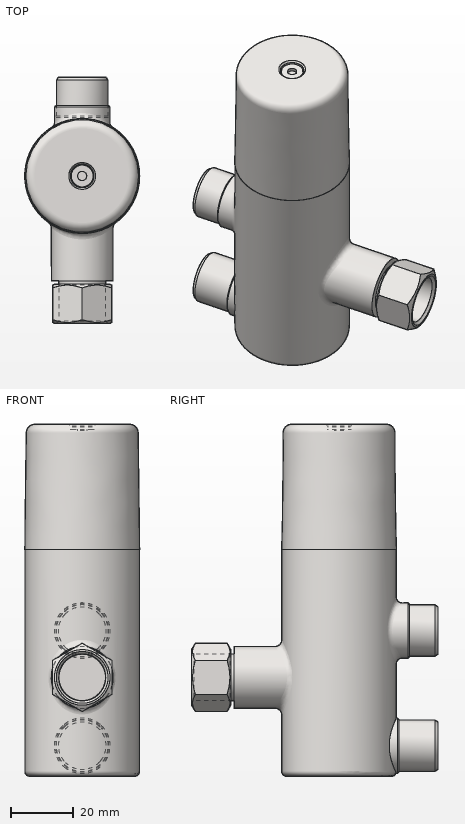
import cadquery as cq
import math

total_height = 113.6
body_diameter = 37.0
body_height = 73.2
base_edge_radius = 1.6
cap_bottom_diameter = 37.1
cap_top_diameter = 36.1
cap_edge_radius = 2.8

recess_mouth_diameter = 8.6
recess_diameter = 7.6
recess_depth = 1.7
screw_diameter = 7.0
screw_drop = 0.9
socket_diameter = 3.0
socket_depth = 1.1

outlet_z = 31.9
outlet_diameter = 20.0
outlet_reach = 33.9
outlet_fillet = 2.0
neck_diameter = 15.2

nut_start = 34.9
nut_end = 47.6
nut_across_flats = 19.1
nut_face_diameter = 18.0
nut_chamfer_length = 1.2
nut_bore_diameter = 15.0
nut_mouth_diameter = 16.7
nut_bore_depth = 12.5

pipe_end = 31.9
pipe_diameter = 16.7
pipe_chamfer_length = 1.0
pipe_chamfer_width = 0.7
collar_diameter = 18.0
collar_chamfer = 0.5
upper_pipe_z = 47.0
upper_collar_reach = 22.7
upper_collar_fillet = 1.7
lower_pipe_z = 9.9
lower_collar_reach = 19.3


def cylinder_along_y(diameter, start, end, z):
    """Cylinder from Y = start to Y = end, where end is above start."""
    plane = cq.Plane(origin=(0, start, z), xDir=(1, 0, 0), normal=(0, 1, 0))
    return cq.Workplane(plane).circle(diameter / 2).extrude(end - start)


def blend_with_body(solid, z, diameter, side, radius):
    """Fillet the joint between the body and a tube on the +Y or -Y side."""
    margin = 1.1
    half = diameter / 2 + margin
    body_radius = body_diameter / 2
    joint_start = math.sqrt(body_radius**2 - (diameter / 2) ** 2) - margin
    joint_end = body_radius + margin
    y_low, y_high = sorted((side * joint_start, side * joint_end))
    joint_zone = cq.selectors.BoxSelector((-half, y_low, z - half), (half, y_high, z + half), True)
    return solid.edges(joint_zone).edges("not %LINE").fillet(radius)


def make_body():
    body = cq.Workplane("XY").circle(body_diameter / 2).extrude(body_height)
    return body.faces("<Z").edges().fillet(base_edge_radius)


def make_cap():
    cap = (
        cq.Workplane("XZ")
        .moveTo(0, body_height)
        .lineTo(cap_bottom_diameter / 2, body_height)
        .lineTo(cap_top_diameter / 2, total_height)
        .lineTo(0, total_height)
        .close()
        .revolve(360, (0, 0), (0, 1))
    )
    return cap.faces(">Z").edges().fillet(cap_edge_radius)


def cut_screw_recess(solid):
    mouth_depth = (recess_mouth_diameter - recess_diameter) / 2
    recess = cq.Workplane("XY", origin=(0, 0, total_height)).circle(recess_diameter / 2).extrude(-recess_depth)
    mouth = cq.Solid.makeCone(
        recess_diameter / 2,
        recess_mouth_diameter / 2,
        mouth_depth,
        pnt=cq.Vector(0, 0, total_height - mouth_depth),
    )
    screw = (
        cq.Workplane("XY", origin=(0, 0, total_height - recess_depth))
        .circle(screw_diameter / 2)
        .circle(socket_diameter / 2)
        .extrude(recess_depth - screw_drop)
    )
    socket = (
        cq.Workplane("XY", origin=(0, 0, total_height - screw_drop))
        .circle(socket_diameter / 2)
        .extrude(-socket_depth)
    )
    return solid.cut(recess).cut(cq.Workplane(mouth)).union(screw).cut(socket)


def make_nut():
    length = nut_end - nut_start
    across_corners = nut_across_flats / math.cos(math.pi / 6)
    nut = (
        cq.Workplane("XZ", origin=(0, -nut_start, outlet_z))
        .transformed(rotate=(0, 0, 90))
        .polygon(6, across_corners)
        .extrude(length)
    )
    corner_width = (across_corners - nut_face_diameter) / 2
    envelope = cylinder_along_y(across_corners, -nut_end, -nut_start, outlet_z)
    envelope = envelope.faces("<Y").chamfer(nut_chamfer_length, corner_width)
    envelope = envelope.faces(">Y").chamfer(nut_chamfer_length, corner_width)
    return nut.intersect(envelope)


def cut_nut_bore(solid):
    bore = cylinder_along_y(nut_bore_diameter, -nut_end, nut_bore_depth - nut_end, outlet_z)
    mouth_depth = (nut_mouth_diameter - nut_bore_diameter) / 2
    mouth = cq.Solid.makeCone(
        nut_mouth_diameter / 2,
        nut_bore_diameter / 2,
        mouth_depth,
        pnt=cq.Vector(0, -nut_end, outlet_z),
        dir=cq.Vector(0, 1, 0),
    )
    return solid.cut(bore).cut(cq.Workplane(mouth))


def make_pipe(z):
    pipe = cylinder_along_y(pipe_diameter, 0, pipe_end, z)
    return pipe.faces(">Y").chamfer(pipe_chamfer_length, pipe_chamfer_width)


def make_collar(reach, z):
    collar = cylinder_along_y(collar_diameter, 0, reach, z)
    return collar.faces(">Y").chamfer(collar_chamfer)


result = make_body()
result = result.union(cylinder_along_y(outlet_diameter, -outlet_reach, 0, outlet_z))
result = blend_with_body(result, outlet_z, outlet_diameter, -1, outlet_fillet)
result = result.union(make_collar(upper_collar_reach, upper_pipe_z))
result = blend_with_body(result, upper_pipe_z, collar_diameter, 1, upper_collar_fillet)

result = result.union(make_collar(lower_collar_reach, lower_pipe_z))
for pipe_z in (upper_pipe_z, lower_pipe_z):
    result = result.union(make_pipe(pipe_z))

result = result.union(cylinder_along_y(neck_diameter, -nut_start, 0, outlet_z))
result = result.union(make_nut())
result = cut_nut_bore(result)

result = cut_screw_recess(result.union(make_cap()))